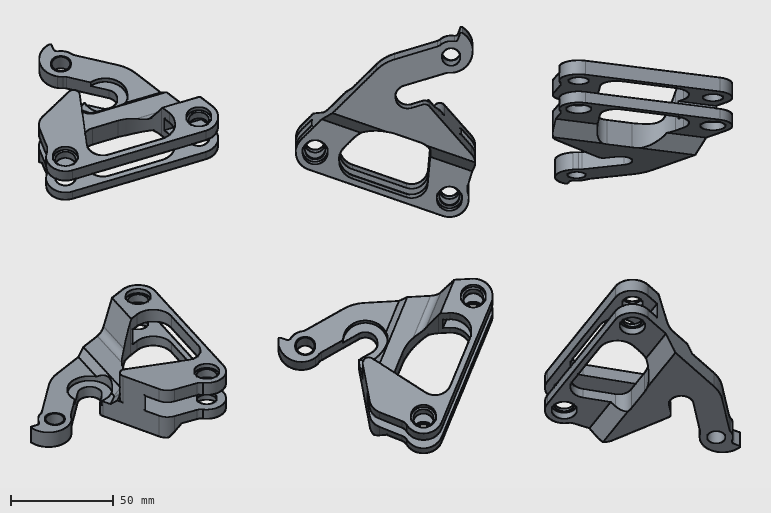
import cadquery as cq
import math


arm_top = 9.0
ledge_top = 12.7
lower_tine_bottom = 7.0
upper_tine_bottom = 21.7
total_height = 29.0

lug_radius = 9.5
lug_x = 44.5
upper_lug_y = 32.0
lug_spacing = 70.0
lug_bore_radius = 5.0
lug_recess_radius = 6.2
upper_recess_depth = 2.5
lower_recess_depth = 4.0
right_x = lug_x + lug_radius
lower_lug_y = upper_lug_y - lug_spacing
upper_lug = (lug_x, upper_lug_y)
lower_lug = (lug_x, lower_lug_y)

upper_edge_angle = 24.0
arm_angle = 52.5
diagonal_angle = -60.0
diagonal_distance = 5.0
bottom_edge_angle = -3.5
bottom_edge_distance = 41.95
lower_neck_angle = -40.0
lower_neck_radius = 5.0
shoulder_radius = 21.0
heel_radius = 8.0
beak_radius = 3.0

slot_radius = 6.0
axle_recess_radius = 11.0
axle_recess_floor = 6.2

arm_width = 14.4
arm_length = 26.5
hook_boss_radius = 8.2
hook_bore_radius = 4.5
hook_rim_radius = 5.0
hook_rim_depth = 0.1
hook_radius = 11.3
hook_nose_angle = 147.0
hook_neck_radius = 4.0
hook_notch_radius = 1.7
hook_tip_radius = 0.7

window_left_x = 20.0
window_bar = 3.0
window_upper_rail = 18.0
block_edge_angle = -15.0
block_edge_distance = 14.0
window_radii = {"lower left": 7.0, "lower right": 8.0, "upper right": 10.0, "upper left": 20.0}
block_tip_radius = 3.0

arch_top_x = 32.7
arch_lean = 25.0
arch_foot_radius = 5.0

gap_lower_x = 13.16
gap_upper_x = 33.87
gap_split_y = 0.0

underside_bevel_x = 20.4
ledge_foot_x = 7.9
ledge_turn_y = -10.0
ledge_turn_radius = 1.7
ledge_turn_angle = 45.0

far = 200.0
shortest_edge = 1e-4


def line(angle, offset):
    """Line running at an angle, lying `offset` to the left of the origin."""
    a = math.radians(angle)
    return (-math.sin(a), math.cos(a), offset)


def line_beside(point, angle, distance):
    """Line running at an angle, lying `distance` to the left of a point."""
    nx, ny, offset = line(angle, distance)
    return (nx, ny, offset + nx * point[0] + ny * point[1])


def crossing(first, second):
    a, b, c = first
    d, e, f = second
    det = a * e - b * d
    return ((c * e - b * f) / det, (a * f - c * d) / det)


def polar(centre, radius, angle):
    a = math.radians(angle)
    return (centre[0] + radius * math.cos(a), centre[1] + radius * math.sin(a))


def arm_point(along, across):
    """Point measured down the arm from the slot axis and across it to the outside."""
    return polar(polar((0, 0), along, arm_angle + 180), across, arm_angle + 90)


def corner_arc(before, corner, after, radius):
    """Start, middle and end of the arc that rounds a corner."""
    to_before = cq.Vector(*before) - cq.Vector(*corner)
    to_after = cq.Vector(*after) - cq.Vector(*corner)
    half_angle = to_before.getAngle(to_after) / 2
    tangent = radius / math.tan(half_angle)
    gap = radius / math.sin(half_angle) - radius
    u = to_before.normalized()
    v = to_after.normalized()
    apex = cq.Vector(*corner)
    points = (apex + u * tangent, apex + (u + v).normalized() * gap, apex + v * tangent)
    return [(p.x, p.y) for p in points]


def rounded_plate(corners, bottom, top):
    """Plate between two heights whose outline is (crossing point, radius) corners."""
    sketch = None
    count = len(corners)
    for i, (corner, radius) in enumerate(corners):
        before = corners[i - 1][0]
        after = corners[(i + 1) % count][0]
        arc = corner_arc(before, corner, after, radius) if radius else [corner]
        if sketch is None:
            sketch = cq.Workplane("XY", origin=(0, 0, bottom)).moveTo(*arc[0])
            position = arc[0]
        if math.dist(position, arc[0]) > shortest_edge:
            sketch = sketch.lineTo(*arc[0])
        if radius:
            sketch = sketch.threePointArc(arc[1], arc[2])
        position = arc[-1]
    return sketch.close().extrude(top - bottom)


def disc(centre, radius, bottom, top):
    return cq.Workplane("XY", origin=(*centre, bottom)).circle(radius).extrude(top - bottom)


def box(x_range, y_range, z_range):
    size = [high - low for low, high in (x_range, y_range, z_range)]
    corner = (x_range[0], y_range[0], z_range[0])
    return cq.Workplane("XY").box(*size, centered=False).translate(corner)


right_edge = line(90, -right_x)
upper_edge = line_beside(upper_lug, upper_edge_angle, lug_radius)
arm_outer_edge = line(arm_angle, slot_radius + arm_width)
arm_end = line(arm_angle + 90, arm_length)
slot_inner_edge = line(arm_angle, slot_radius)
slot_end = line(arm_angle + 90, -slot_radius)
slot_outer_edge = line(arm_angle, -slot_radius)
diagonal_edge = line(diagonal_angle, -diagonal_distance)
bottom_edge = line(bottom_edge_angle, -bottom_edge_distance)
lower_neck = line_beside(lower_lug, lower_neck_angle, -lug_radius)
block_edge = line(block_edge_angle, -block_edge_distance)


def outline_plate(bottom, top):
    corners = [
        (crossing(right_edge, upper_edge), lug_radius),
        (crossing(upper_edge, arm_outer_edge), shoulder_radius),
        (crossing(arm_outer_edge, arm_end), 0),
        (crossing(arm_end, slot_inner_edge), 0),
        (crossing(slot_inner_edge, slot_end), slot_radius),
        (crossing(slot_end, slot_outer_edge), slot_radius),
        (crossing(slot_outer_edge, diagonal_edge), beak_radius),
        (crossing(diagonal_edge, bottom_edge), heel_radius),
        (crossing(bottom_edge, lower_neck), lower_neck_radius),
        (crossing(lower_neck, right_edge), lug_radius),
    ]
    return rounded_plate(corners, bottom, top)


def add_hook(body):
    """Round boss at the arm end, with a crescent nose that is flat at the hole's level."""
    hole = arm_point(arm_length, slot_radius + arm_width / 2)
    centre = polar(hole, hook_radius - hook_boss_radius, hook_nose_angle)
    tangency = polar(hole, hook_boss_radius, hook_nose_angle + 180)
    nose_zone = box((-far, tangency[0]), (-far, hole[1]), (0, arm_top))
    nose = disc(centre, hook_radius, 0, arm_top).intersect(nose_zone)
    body = body.union(disc(hole, hook_boss_radius, 0, arm_top)).union(nose)

    half_width = arm_width / 2
    neck = arm_length - math.sqrt(hook_boss_radius**2 - half_width**2)
    tip_reach = math.sqrt(hook_radius**2 - (centre[1] - hole[1]) ** 2)
    rounded_corners = [
        (arm_point(neck, slot_radius), hook_neck_radius),
        (arm_point(neck, slot_radius + arm_width), hook_neck_radius),
        ((hole[0] - hook_boss_radius, hole[1]), hook_notch_radius),
        ((centre[0] - tip_reach, hole[1]), hook_tip_radius),
    ]
    for (x, y), radius in rounded_corners:
        edge = cq.selectors.NearestToPointSelector((x, y, arm_top / 2))
        body = body.edges("|Z").edges(edge).fillet(radius)

    bore = disc(hole, hook_bore_radius, 0, arm_top)
    rim = disc(hole, hook_rim_radius, arm_top - hook_rim_depth, arm_top)
    return body.cut(bore).cut(rim)


def ledge():
    """Plate from the arm top to the ledge top, bevelled at 45 degrees along its left edge."""
    rise = ledge_top - arm_top
    turn_x = ledge_foot_x - ledge_turn_radius
    profile = [
        (-far, 0),
        (ledge_turn_radius, 0),
        (ledge_turn_radius + rise, rise),
        (-far, rise),
    ]
    straight = cq.Workplane("XZ").polyline(profile).close().extrude(-far)
    place = (turn_x, ledge_turn_y, arm_top)
    slanted = straight.translate((0, -far, 0)).rotate((0, 0, 0), (0, 0, 1), -ledge_turn_angle)
    cone = cq.Solid.makeCone(ledge_turn_radius, ledge_turn_radius + rise, rise)
    return (
        outline_plate(arm_top, ledge_top)
        .cut(straight.translate(place))
        .cut(slanted.translate(place))
        .cut(cq.Workplane(cone).translate(place))
    )


def block():
    """Full-height block between the diagonal edge, the window and the lower lug."""
    lowest = line(0, lower_lug_y - lug_radius)
    corners = [
        (crossing(block_edge, diagonal_edge), block_tip_radius),
        (crossing(diagonal_edge, lowest), 0),
        (crossing(lowest, right_edge), 0),
        (crossing(right_edge, block_edge), 0),
    ]
    wedge = rounded_plate(corners, ledge_top, total_height)
    return outline_plate(ledge_top, total_height).intersect(wedge)


def arch():
    """Upper arch: its left face leans over the ledge and blends into it with a fillet."""
    rise = total_height - ledge_top
    foot = (arch_top_x - rise * math.tan(math.radians(arch_lean)), ledge_top)
    top = (arch_top_x, total_height)
    blend = corner_arc((foot[0] - rise, ledge_top), foot, top, arch_foot_radius)
    profile = (
        cq.Workplane("XZ", origin=(0, -far, 0))
        .moveTo(*blend[0])
        .threePointArc(blend[1], blend[2])
        .lineTo(*top)
        .lineTo(right_x, total_height)
        .lineTo(right_x, ledge_top)
        .close()
        .extrude(-2 * far)
    )
    return outline_plate(ledge_top, total_height).intersect(profile)


def window():
    left = line(90, -window_left_x)
    right = line(90, window_bar - right_x)
    upper = line_beside(upper_lug, upper_edge_angle, lug_radius - window_upper_rail)
    corners = [
        (crossing(left, block_edge), window_radii["lower left"]),
        (crossing(block_edge, right), window_radii["lower right"]),
        (crossing(right, upper), window_radii["upper right"]),
        (crossing(upper, left), window_radii["upper left"]),
    ]
    return rounded_plate(corners, 0, total_height)


def clevis_gap():
    heights = (ledge_top, upper_tine_bottom)
    lower = box((gap_lower_x, far), (-far, gap_split_y), heights)
    upper = box((gap_upper_x, far), (gap_split_y, far), heights)
    return lower.union(upper)


def underside_bevel():
    end_x = underside_bevel_x + lower_tine_bottom
    profile = [
        (underside_bevel_x, 0),
        (end_x, lower_tine_bottom),
        (far, lower_tine_bottom),
        (far, 0),
    ]
    return cq.Workplane("XZ", origin=(0, -far, 0)).polyline(profile).close().extrude(-2 * far)


def lug_hole(centre):
    bore = disc(centre, lug_bore_radius, 0, total_height)
    upper_floor = total_height - upper_recess_depth
    lower_floor = lower_tine_bottom + lower_recess_depth
    upper_recess = disc(centre, lug_recess_radius, upper_floor, total_height)
    lower_recess = disc(centre, lug_recess_radius, 0, lower_floor)
    return bore.union(upper_recess).union(lower_recess)


result = add_hook(outline_plate(0, arm_top))
result = result.union(ledge()).union(block()).union(arch())
result = result.cut(window()).cut(clevis_gap()).cut(underside_bevel())
result = result.cut(disc((0, 0), axle_recess_radius, axle_recess_floor, ledge_top))
for lug in (upper_lug, lower_lug):
    result = result.cut(lug_hole(lug))